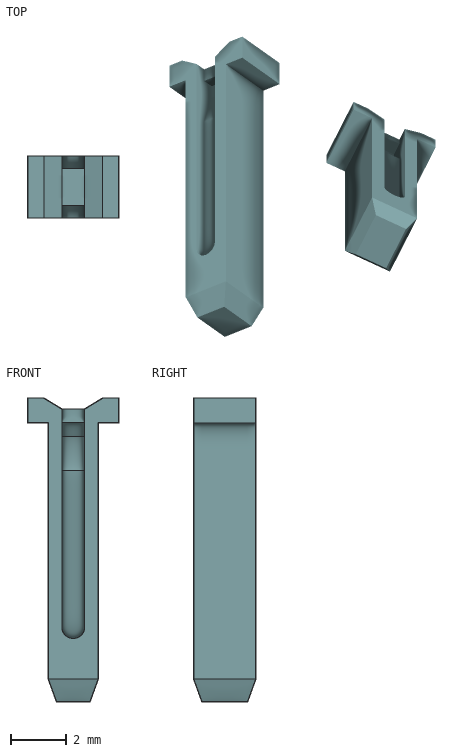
import cadquery as cq
import math

height = 11.0
depth = 2.25
body_width = 1.82

head_width = 3.3
head_height = 0.9
head_flat = 0.58
lead_in_depth = 0.4

tip_height = 0.82
taper_angle = 20.0

slot_width = 0.82
slot_bottom = 2.3

web_depth = 1.35
neck_depth = 0.45
bar_height = 0.5
neck_height = 0.5
ramp_height = (web_depth - neck_depth) / 2 / math.tan(math.radians(taper_angle))

web_top = height - lead_in_depth
bar_bottom = web_top - bar_height
neck_bottom = bar_bottom - neck_height
ramp_bottom = neck_bottom - ramp_height


def make_body():
    """Rectangular shank that tapers on all four sides at the tip."""
    shank = cq.Workplane("XY").workplane(offset=tip_height).rect(body_width, depth).extrude(height - tip_height)
    tip = (
        cq.Workplane("XY")
        .workplane(offset=tip_height)
        .rect(body_width, depth)
        .extrude(-tip_height, taper=taper_angle)
    )
    return shank.union(tip)


def make_head():
    """Cross bar at the top of the shank."""
    return cq.Workplane("XY").box(head_width, depth, head_height, centered=(True, True, False)).translate(
        (0, 0, height - head_height)
    )


def make_lead_in():
    """V-shaped cut that guides into the slot."""
    half_mouth = head_width / 2 - head_flat
    half_slot = slot_width / 2
    return (
        cq.Workplane("XZ")
        .polyline([(-half_mouth, height), (half_mouth, height), (half_slot, web_top), (-half_slot, web_top)])
        .close()
        .extrude(depth / 2, both=True)
    )


def make_slot():
    """Full-depth slot with a half-round bottom."""
    radius = slot_width / 2
    return (
        cq.Workplane("XZ")
        .moveTo(-radius, web_top)
        .lineTo(-radius, slot_bottom + radius)
        .threePointArc((0, slot_bottom), (radius, slot_bottom + radius))
        .lineTo(radius, web_top)
        .close()
        .extrude(depth / 2, both=True)
    )


def make_web():
    """Central wall in the slot, extended below the slot bottom to fuse with the shank."""
    half_web = web_depth / 2
    half_neck = neck_depth / 2
    front_edge = [
        (half_web, tip_height),
        (half_web, ramp_bottom),
        (half_neck, neck_bottom),
        (half_neck, bar_bottom),
        (half_web, bar_bottom),
        (half_web, web_top),
    ]
    back_edge = [(-y, z) for y, z in reversed(front_edge)]
    return cq.Workplane("YZ").polyline(front_edge + back_edge).close().extrude(slot_width / 2, both=True)


result = make_body().union(make_head()).cut(make_lead_in()).cut(make_slot()).union(make_web())